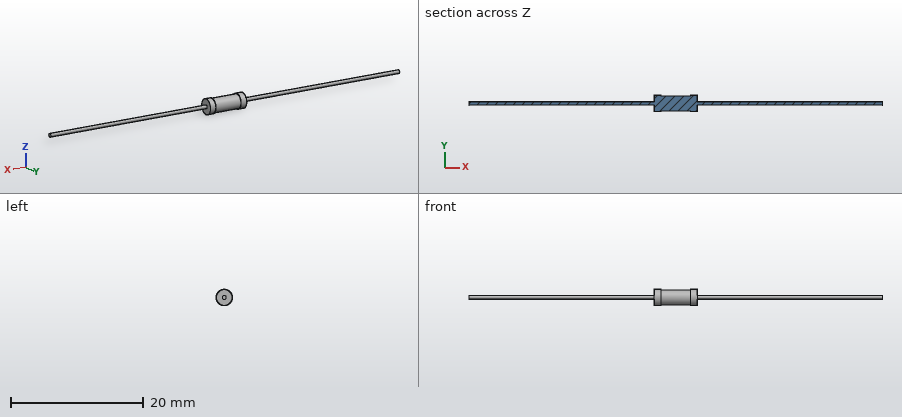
import cadquery as cq

overall_length = 62.5
body_length = 6.5
cap_length = 1.0
cap_diameter = 2.5
sleeve_diameter = 2.3
lead_diameter = 0.6


def cylinder_along_x(diameter, length, centre_x=0):
    """Cylinder on the X axis with its middle at centre_x."""
    start_face = cq.Workplane("YZ", origin=(centre_x - length / 2, 0, 0))
    return start_face.circle(diameter / 2).extrude(length)


def end_cap(side):
    """Cap at one end of the body; side is -1 or +1 along X."""
    return cylinder_along_x(cap_diameter, cap_length, side * (body_length - cap_length) / 2)


lead = cylinder_along_x(lead_diameter, overall_length)
sleeve = cylinder_along_x(sleeve_diameter, body_length)

result = lead.union(sleeve)
for side in (-1, 1):
    result = result.union(end_cap(side))